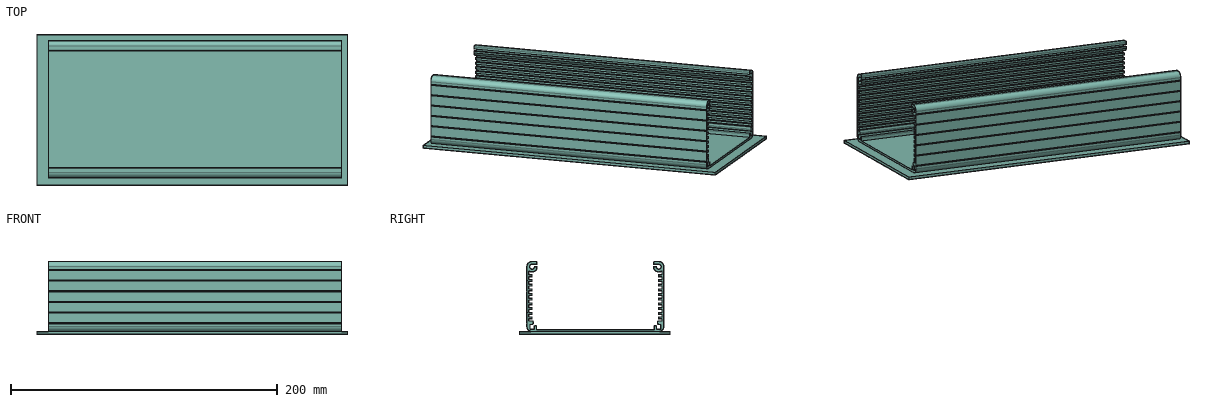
import cadquery as cq

plate_length = 233.0
plate_width = 113.0
plate_thickness = 2.0

total_height = 54.8
channel_length = 220.0
channel_width = 103.0
channel_offset_x = 2.0
channel_offset_y = 0.5
outer_face = -channel_width / 2
wall = 1.51
channel_base = plate_thickness

hook_radius = 4.0
bore_radius = 1.75
hook_center = outer_face + hook_radius
hook_z = total_height - hook_radius
lip_tip = outer_face + 7.7
lip_rounding = 0.7
slot_bottom = 50.8
slot_top = hook_z + bore_radius

corner_radius = 4.0
corner_top = 10.3
boss_tip = outer_face + 5.0
boss_rounding = 1.0
recess_start = outer_face + 2.5
recess_bottom = plate_thickness + 1.98
recess_top = 7.5
post_start = outer_face + 5.5
post_end = outer_face + 7.5
post_top = 6.5
post_rounding = 0.58

fin_count = 10
fin_thickness = 1.51
fin_reach = 4.0
first_fin_z = 12.3
last_fin_z = 44.0
fin_pitch = (last_fin_z - first_fin_z) / (fin_count - 1)

groove_count = 6
groove_width = 0.82
groove_depth = 0.2
first_groove_z = 8.5
last_groove_z = 48.5
groove_pitch = (last_groove_z - first_groove_z) / (groove_count - 1)


def bar(y_start, y_end, z_start, z_end):
    """Rectangular bar over the length of the channel."""
    return (
        cq.Workplane("XY")
        .box(channel_length, y_end - y_start, z_end - z_start, centered=(True, False, False))
        .translate((0, y_start, z_start))
    )


def rod(radius, y, z):
    """Round bar over the length of the channel."""
    return cq.Workplane("YZ", origin=(-channel_length / 2, y, z)).circle(radius).extrude(channel_length)


def groove(z):
    """V-shaped cutter whose mouth lies on the outer face of the wall."""
    return (
        cq.Workplane("YZ", origin=(-channel_length / 2, outer_face, z))
        .polyline([(0, -groove_width / 2), (groove_depth, 0), (0, groove_width / 2)])
        .close()
        .extrude(channel_length)
    )


def make_hook():
    """Hook with a bore that opens inward through a slot under a flat lip."""
    ring_end = hook_center + hook_radius
    lip = bar(hook_center, lip_tip, slot_top, total_height)
    lip = lip.edges("|X and >Y and >Z").fillet(lip_rounding)
    ring = rod(hook_radius, hook_center, hook_z)
    ring = ring.cut(bar(hook_center, ring_end, slot_bottom, total_height))
    ring = ring.cut(bar(lip_tip, ring_end, hook_z - hook_radius, total_height))
    return ring.union(lip).cut(rod(bore_radius, hook_center, hook_z))


def make_corner():
    """Rounded floor corner with a recess between the boss on the wall and the post on the floor."""
    boss = bar(outer_face, boss_tip, recess_top, corner_top)
    boss = boss.edges("|X and >Y").fillet(boss_rounding)
    post = bar(post_start, post_end, recess_bottom, post_top)
    post = post.edges("|X and >Z").fillet(post_rounding)
    base = bar(outer_face, post_end, channel_base, recess_top)
    base = base.edges("|X and <Y and <Z").fillet(corner_radius)
    base = base.cut(bar(recess_start, post_end, recess_bottom, recess_top))
    return base.union(boss).union(post)


def make_side():
    """One side of the channel: half the floor, the wall, its hook, corner, fins and grooves."""
    side = bar(outer_face, outer_face + wall, recess_top, hook_z)
    side = side.union(bar(post_end, 0, channel_base, channel_base + wall))
    side = side.union(make_hook()).union(make_corner())
    for index in range(fin_count):
        fin_z = first_fin_z + index * fin_pitch
        fin_bottom = fin_z - fin_thickness / 2
        side = side.union(bar(outer_face, outer_face + fin_reach, fin_bottom, fin_bottom + fin_thickness))
    for index in range(groove_count):
        side = side.cut(groove(first_groove_z + index * groove_pitch))
    return side


def make_channel():
    """Both mirrored sides joined at the middle of the floor, set off-center on the plate."""
    side = make_side()
    channel = side.union(side.mirror("XZ")).clean()
    return channel.translate((channel_offset_x, channel_offset_y, 0))


def make_plate():
    """Flat rectangular base plate."""
    return cq.Workplane("XY").box(
        plate_length, plate_width, plate_thickness, centered=(True, True, False)
    )


channel = make_channel()
plate = make_plate()
result = cq.Compound.makeCompound([channel.val(), plate.val()])